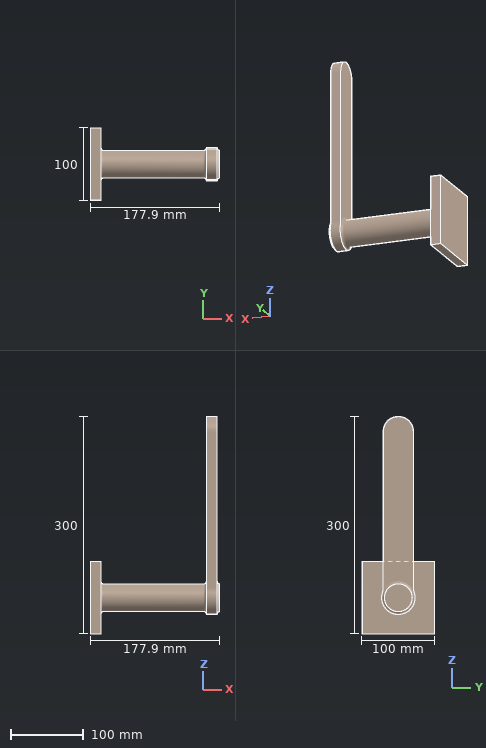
import cadquery as cq
import math

plate_side = 100.0
plate_thickness = 15.0

post_radius = 19.05
post_length = 145.0
plate_fillet = 3.0

arm_thickness = 15.0
arm_half_width = 21.0
arm_top_z = 250.0
arm_flare_radius = 4.0
hub_blend_radius = 20.0

boss_length = 2.9

hub_radius = post_radius + arm_flare_radius
arm_near_x = plate_thickness + post_length
arm_far_x = arm_near_x + arm_thickness
boss_end_x = arm_far_x + boss_length


def make_plate():
    return (
        cq.Workplane("YZ")
        .rect(plate_side, plate_side)
        .extrude(plate_thickness)
    )


def flare_point(wall_x, radius, direction, distance):
    """Point on a quarter-round flare, `distance` away from its wall along `direction` (+1 or -1 in X)."""
    rise = radius - math.sqrt(radius**2 - (radius - distance)**2)
    return (wall_x + direction * distance, post_radius + rise)


def make_post():
    """Post with a flare at each end, revolved about the X axis."""
    return (
        cq.Workplane("XY")
        .moveTo(plate_thickness, 0)
        .lineTo(plate_thickness, post_radius + plate_fillet)
        .threePointArc(
            flare_point(plate_thickness, plate_fillet, 1, plate_fillet / 2),
            (plate_thickness + plate_fillet, post_radius),
        )
        .lineTo(arm_near_x - arm_flare_radius, post_radius)
        .threePointArc(
            flare_point(arm_near_x, arm_flare_radius, -1, arm_flare_radius / 2),
            (arm_near_x, hub_radius),
        )
        .lineTo(arm_near_x, 0)
        .close()
        .revolve(360, (0, 0, 0), (1, 0, 0))
    )


def make_arm():
    """Arm outline in the YZ plane: hub circle, blended into a straight bar with a round top."""
    blend_center_y = arm_half_width + hub_blend_radius
    blend_center_distance = hub_radius + hub_blend_radius
    blend_center_z = math.sqrt(blend_center_distance**2 - blend_center_y**2)

    hub_share = hub_radius / blend_center_distance
    tangent_y = blend_center_y * hub_share
    tangent_z = blend_center_z * hub_share

    middle_angle = math.atan2(blend_center_z, blend_center_y) / 2
    middle_y = blend_center_y - hub_blend_radius * math.cos(middle_angle)
    middle_z = blend_center_z - hub_blend_radius * math.sin(middle_angle)

    round_top_z = arm_top_z - arm_half_width
    return (
        cq.Workplane("YZ", origin=(arm_near_x, 0, 0))
        .moveTo(tangent_y, tangent_z)
        .threePointArc((middle_y, middle_z), (arm_half_width, blend_center_z))
        .lineTo(arm_half_width, round_top_z)
        .threePointArc((0, arm_top_z), (-arm_half_width, round_top_z))
        .lineTo(-arm_half_width, blend_center_z)
        .threePointArc((-middle_y, middle_z), (-tangent_y, tangent_z))
        .threePointArc((0, -hub_radius), (tangent_y, tangent_z))
        .close()
        .extrude(arm_thickness)
    )


def make_boss():
    """End boss flaring out toward the arm face, revolved about the X axis."""
    return (
        cq.Workplane("XY")
        .moveTo(arm_far_x, 0)
        .lineTo(arm_far_x, hub_radius)
        .threePointArc(
            flare_point(arm_far_x, arm_flare_radius, 1, boss_length / 2),
            flare_point(arm_far_x, arm_flare_radius, 1, boss_length),
        )
        .lineTo(boss_end_x, 0)
        .close()
        .revolve(360, (0, 0, 0), (1, 0, 0))
    )


result = make_plate().union(make_post()).union(make_arm()).union(make_boss())